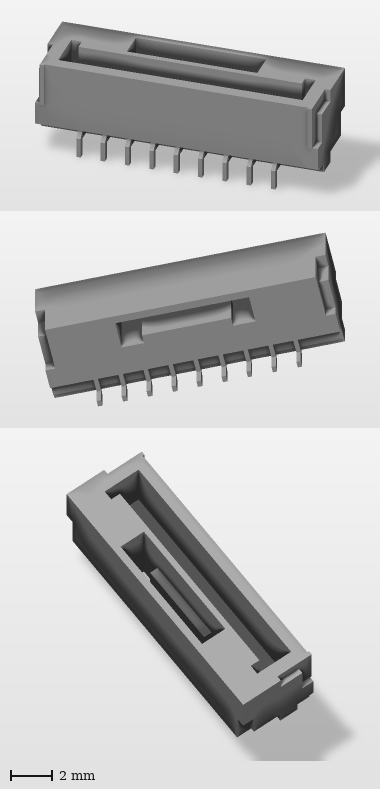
import cadquery as cq

LENGTH = 14.5
DEPTH = 4.25
HEIGHT = 4.06

LIP_HEIGHT = 0.65
LIP_SETBACK = 0.25
UNDERCUT_HEIGHT = 0.52
UNDERCUT_SETBACK = 0.97

CAVITY_LENGTH = 12.53
CAVITY_REAR = 2.1
CAVITY_FRONT = 3.62
CAVITY_FLOOR = 1.02
KEY_WIDTH = 0.54
KEY_REAR = 1.58

WINDOW_LENGTH = 6.68
WINDOW_REAR = 0.39
WINDOW_FRONT = 1.8
LEDGE_LENGTH = 4.44
LEDGE_DEPTH = 0.45
LEDGE_TOP = HEIGHT / 2

FRONT_RECESS = 0.28
FRONT_ARM_REAR = 2.28
FRONT_ARM_HEIGHT = 0.65
FRONT_LEG_REAR = 3.58
FRONT_LEG_HEIGHT = 2.23
TAB_THICKNESS = 0.22
TAB_PROJECTION = 0.1
REAR_RECESS = FRONT_RECESS + TAB_THICKNESS
REAR_LEG_DEPTH = 0.65
REAR_LEG_TOP = 1.93
REAR_FOOT_DEPTH = 2.25
REAR_FOOT_TOP = 0.61

PIN_COUNT = 9
PIN_PITCH = 1.25
PIN_WIDTH = 0.22
PIN_THICKNESS = 0.39
PIN_LEG_DEPTH = 0.32
PIN_DROP = 0.78
PIN_BEVEL = 0.28


def box(x_range, y_range, z_range):
    """Axis-aligned block spanning the given (low, high) ranges."""
    low, high = zip(x_range, y_range, z_range)
    size = [b - a for a, b in zip(low, high)]
    return cq.Workplane("XY").box(*size, centered=False).translate(low)


def centred_box(length, rear, front, bottom, top):
    """Block centred on X; rear and front are distances from the rear face."""
    return box((-length / 2, length / 2), (-front, -rear), (bottom, top))


def profile_along_x(points, start, length):
    """Extrude a (y, z) outline along +X from x = start."""
    return cq.Workplane("YZ", origin=(start, 0, 0)).polyline(points).close().extrude(length)


def housing():
    outline = [
        (0, 0),
        (0, HEIGHT),
        (-DEPTH, HEIGHT),
        (-DEPTH, LIP_HEIGHT),
        (-DEPTH + LIP_SETBACK, LIP_HEIGHT),
        (-DEPTH + LIP_SETBACK, UNDERCUT_HEIGHT),
        (-DEPTH + UNDERCUT_SETBACK, UNDERCUT_HEIGHT),
        (-DEPTH + UNDERCUT_SETBACK, 0),
    ]
    return profile_along_x(outline, -LENGTH / 2, LENGTH)


def cavity():
    pocket = centred_box(CAVITY_LENGTH, CAVITY_REAR, CAVITY_FRONT, CAVITY_FLOOR, HEIGHT)
    keys = centred_box(CAVITY_LENGTH, KEY_REAR, CAVITY_REAR, CAVITY_FLOOR, HEIGHT)
    key_gap = CAVITY_LENGTH - 2 * KEY_WIDTH
    keys = keys.cut(centred_box(key_gap, KEY_REAR, CAVITY_REAR, CAVITY_FLOOR, HEIGHT))
    return pocket.union(keys)


def latch_window():
    opening = centred_box(WINDOW_LENGTH, WINDOW_REAR, WINDOW_FRONT, 0, HEIGHT)
    ledge = centred_box(LEDGE_LENGTH, WINDOW_FRONT - LEDGE_DEPTH, WINDOW_FRONT, 0, LEDGE_TOP)
    return opening.cut(ledge)


def left_end_recesses():
    front_outline = [
        (-FRONT_ARM_REAR, HEIGHT),
        (-DEPTH, HEIGHT),
        (-DEPTH, HEIGHT - FRONT_LEG_HEIGHT),
        (-FRONT_LEG_REAR, HEIGHT - FRONT_LEG_HEIGHT),
        (-FRONT_LEG_REAR, HEIGHT - FRONT_ARM_HEIGHT),
        (-FRONT_ARM_REAR, HEIGHT - FRONT_ARM_HEIGHT),
    ]
    rear_outline = [
        (0, 0),
        (0, REAR_LEG_TOP),
        (-REAR_LEG_DEPTH, REAR_LEG_TOP),
        (-REAR_LEG_DEPTH, REAR_FOOT_TOP),
        (-REAR_FOOT_DEPTH, REAR_FOOT_TOP),
        (-REAR_FOOT_DEPTH, 0),
    ]
    front = profile_along_x(front_outline, -LENGTH / 2, FRONT_RECESS)
    rear = profile_along_x(rear_outline, -LENGTH / 2, REAR_RECESS)
    return front.union(rear)


def left_front_tab():
    """Strip standing proud of the front face beside the end recess."""
    inner_side = -LENGTH / 2 + FRONT_RECESS
    return box(
        (inner_side, inner_side + TAB_THICKNESS),
        (-DEPTH - TAB_PROJECTION, -FRONT_LEG_REAR),
        (HEIGHT - FRONT_LEG_HEIGHT, HEIGHT),
    )


def pin(x):
    """Bent contact leaving the undercut and turning down in front of the housing."""
    root = -DEPTH + UNDERCUT_SETBACK
    front = -DEPTH - TAB_PROJECTION
    outline = [
        (root, UNDERCUT_HEIGHT),
        (front + PIN_BEVEL, UNDERCUT_HEIGHT),
        (front, UNDERCUT_HEIGHT - PIN_BEVEL),
        (front, -PIN_DROP),
        (front + PIN_LEG_DEPTH, -PIN_DROP),
        (front + PIN_LEG_DEPTH, UNDERCUT_HEIGHT - PIN_THICKNESS),
        (root, UNDERCUT_HEIGHT - PIN_THICKNESS),
    ]
    return profile_along_x(outline, x - PIN_WIDTH / 2, PIN_WIDTH)


result = housing().cut(cavity()).cut(latch_window())

recesses = left_end_recesses()
result = result.cut(recesses).cut(recesses.mirror("YZ"))

tab = left_front_tab()
result = result.union(tab).union(tab.mirror("YZ"))

for index in range(PIN_COUNT):
    result = result.union(pin((index - (PIN_COUNT - 1) / 2) * PIN_PITCH))